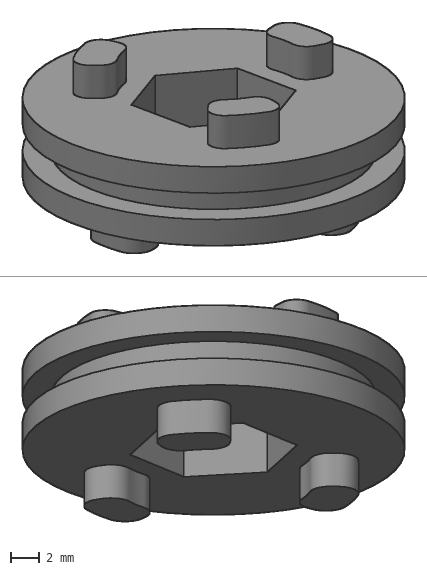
import cadquery as cq
import math

total_height = 11.0
layer_height = 2.0
flange_diameter = 27.0
groove_diameter = 23.0
hex_across_flats = 10.35

lug_count = 3
body_height = 3 * layer_height
lug_height = (total_height - body_height) / 2
top_lug_inner_radius = 6.88
top_lug_outer_radius = 10.0
top_lug_corner_radius = 1.2
top_lug_half_angle = 16.8
top_lug_direction = 90.3
bottom_lug_inner_radius = 7.05
bottom_lug_outer_radius = 10.5
bottom_lug_corner_radius = 1.5
bottom_lug_half_angle = 16.7
bottom_lug_direction = 270.6


def polar(radius, degrees):
    """Point at a radius and an angle from +X."""
    angle = math.radians(degrees)
    return (radius * math.cos(angle), radius * math.sin(angle))


def disc(diameter, height):
    """Disc centred on the origin."""
    return cq.Workplane("XY", origin=(0, 0, -height / 2)).circle(diameter / 2).extrude(height)


def lug(inner_radius, outer_radius, half_angle, corner_radius, direction, base_z):
    """Rounded annular sector standing on base_z and centred on a direction."""
    start = direction - half_angle
    end = direction + half_angle
    return (
        cq.Workplane("XY", origin=(0, 0, base_z))
        .moveTo(*polar(inner_radius, start))
        .lineTo(*polar(outer_radius, start))
        .threePointArc(polar(outer_radius, direction), polar(outer_radius, end))
        .lineTo(*polar(inner_radius, end))
        .threePointArc(polar(inner_radius, direction), polar(inner_radius, start))
        .close()
        .extrude(lug_height)
        .edges("|Z")
        .fillet(corner_radius)
    )


groove_cutter = disc(flange_diameter, layer_height).cut(disc(groove_diameter, layer_height))
result = disc(flange_diameter, body_height).cut(groove_cutter)

hex_across_corners = hex_across_flats / math.cos(math.pi / 6)
hex_base = cq.Workplane("XY", origin=(0, 0, -body_height / 2))
hex_cutter = hex_base.polygon(6, hex_across_corners).extrude(body_height)
result = result.cut(hex_cutter)

for index in range(lug_count):
    turn = index * 360 / lug_count
    top_lug = lug(
        top_lug_inner_radius,
        top_lug_outer_radius,
        top_lug_half_angle,
        top_lug_corner_radius,
        top_lug_direction + turn,
        body_height / 2,
    )
    bottom_lug = lug(
        bottom_lug_inner_radius,
        bottom_lug_outer_radius,
        bottom_lug_half_angle,
        bottom_lug_corner_radius,
        bottom_lug_direction + turn,
        -body_height / 2 - lug_height,
    )
    result = result.union(top_lug).union(bottom_lug)